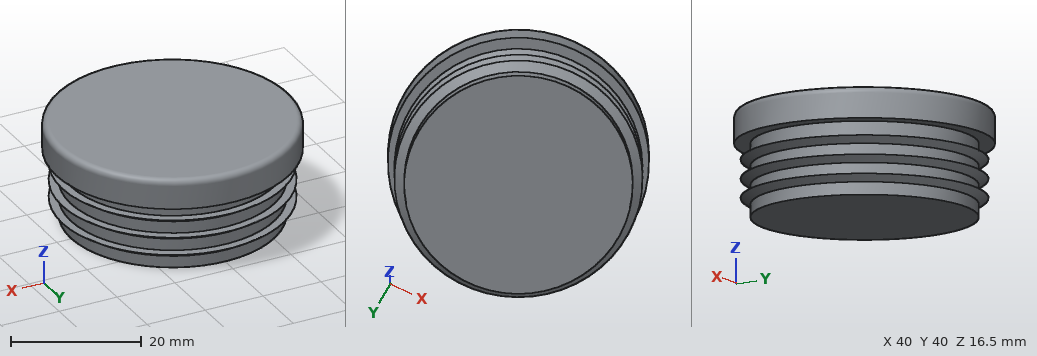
import cadquery as cq

head_diameter = 40.0
head_height = 5.0
head_edge_radius = 1.0

total_height = 16.5
stem_diameter = 35.0
stem_height = total_height - head_height

fin_diameter = 38.0
fin_thickness = 1.0
fin_pitch = 3.0
fin_count = 3


def make_head():
    head = cq.Workplane("XY").workplane(offset=stem_height).circle(head_diameter / 2).extrude(head_height)
    return head.faces(">Z").edges().fillet(head_edge_radius)


def make_fin(top_z):
    """Conical fin whose flat, widest face lies at top_z."""
    return (
        cq.Workplane("XY")
        .workplane(offset=top_z - fin_thickness)
        .circle(stem_diameter / 2)
        .workplane(offset=fin_thickness)
        .circle(fin_diameter / 2)
        .loft(ruled=True)
    )


stem = cq.Workplane("XY").circle(stem_diameter / 2).extrude(stem_height)
result = stem.union(make_head())
for fin_number in range(1, fin_count + 1):
    result = result.union(make_fin(fin_number * fin_pitch))